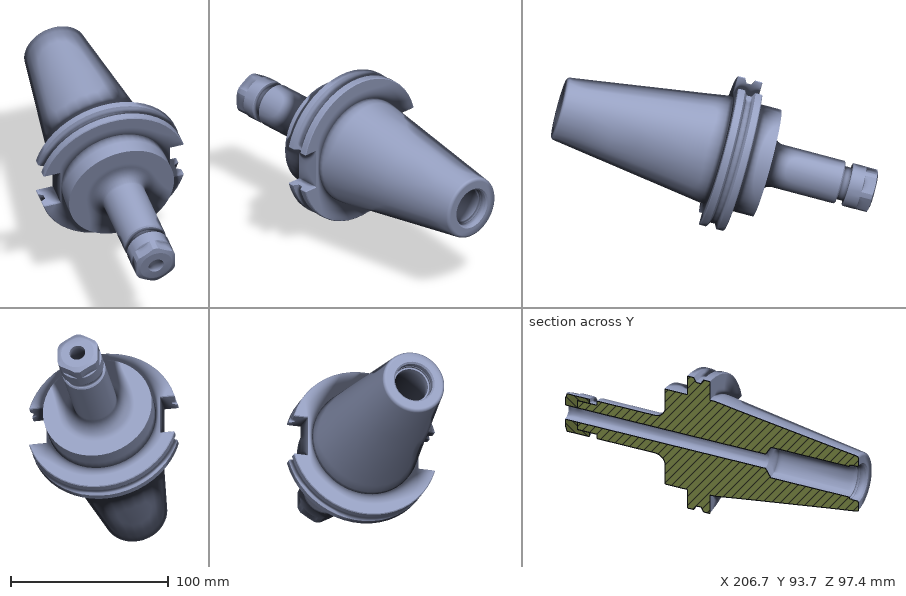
import cadquery as cq
import math


GAUGE_DIAMETER = 70.0
TAPER_LENGTH = 101.7
TAPER_RATIO = 7 / 24
TAPER_END_ROUND = 2.0

FLANGE_START = 3.0
UNDERCUT_WIDTH = 0.6
UNDERCUT_DEPTH = 0.1
FLANGE_WIDTH = 16.1
FLANGE_DIAMETER = 97.4
FLANGE_CHAMFER = 0.52
GROOVE_CENTRE = 11.2
GROOVE_FLOOR_DIAMETER = 91.2
GROOVE_FLOOR_WIDTH = 3.3
GROOVE_FLANK_ANGLE = 30

SLOT_WIDTH = 25.6
SLOT_FLOOR_FRONT = 35.5
SLOT_FLOOR_BACK = 37.6

COLLAR_END = 35.0
SHANK_DIAMETER = 28.0
SHANK_FILLET = 7.0
SHANK_END = 83.1
SHANK_CHAMFER = 0.8
NECK_DIAMETER = 21.7
NECK_IN_NUT = 8.7

BORE_MOUTH_DIAMETER = 27.0
BORE_PILOT_DIAMETER = 25.0
BORE_PILOT_DEPTH = 5.0
BORE_STEP_DIAMETER = 24.5
BORE_STEP_DEPTH = 6.5
BORE_DIAMETER = 22.1
BORE_DEPTH = 62.0
BORE_TIP_ANGLE = 59
THROUGH_DIAMETER = 10.1

NUT_START = 87.9
NUT_END = 105.0
NUT_DIAMETER = 28.0
NUT_BACK_CHAMFER = 0.5
NUT_FACE_DIAMETER = 21.0
NUT_FACE_LENGTH = 1.0
FLAT_COUNT = 6
FLATS_START = 96.5
ACROSS_FLATS = 25.6
FLATS_RUNOUT = 0.6


def revolve_about_x(profile):
    """Revolve a closed XY half profile around the X axis."""
    return profile.close().revolve(360, (0, 0, 0), (1, 0, 0))


def holder_blank():
    gauge_radius = GAUGE_DIAMETER / 2
    small_radius = gauge_radius - TAPER_LENGTH * TAPER_RATIO / 2
    shank_radius = SHANK_DIAMETER / 2
    undercut_radius = gauge_radius - UNDERCUT_DEPTH
    fillet_drop = SHANK_FILLET * math.sqrt(0.5)
    profile = (
        cq.Workplane("XY")
        .moveTo(-TAPER_LENGTH, 0)
        .lineTo(-TAPER_LENGTH, small_radius)
        .lineTo(0, gauge_radius)
        .lineTo(FLANGE_START - UNDERCUT_WIDTH, gauge_radius)
        .lineTo(FLANGE_START - UNDERCUT_WIDTH, undercut_radius)
        .lineTo(FLANGE_START, undercut_radius)
        .lineTo(FLANGE_START, gauge_radius)
        .lineTo(COLLAR_END, gauge_radius)
        .lineTo(COLLAR_END, shank_radius + SHANK_FILLET)
        .threePointArc(
            (COLLAR_END + SHANK_FILLET - fillet_drop, shank_radius + SHANK_FILLET - fillet_drop),
            (COLLAR_END + SHANK_FILLET, shank_radius),
        )
        .lineTo(SHANK_END - SHANK_CHAMFER, shank_radius)
        .lineTo(SHANK_END, shank_radius - SHANK_CHAMFER)
        .lineTo(SHANK_END, NECK_DIAMETER / 2)
        .lineTo(NUT_START + NECK_IN_NUT, NECK_DIAMETER / 2)
        .lineTo(NUT_START + NECK_IN_NUT, 0)
    )
    return revolve_about_x(profile).faces("<X").edges().fillet(TAPER_END_ROUND)


def gripper_groove():
    floor_radius = GROOVE_FLOOR_DIAMETER / 2
    half_floor = GROOVE_FLOOR_WIDTH / 2
    depth = FLANGE_DIAMETER / 2 - floor_radius
    half_mouth = half_floor + depth * math.tan(math.radians(GROOVE_FLANK_ANGLE))
    profile = (
        cq.Workplane("XY")
        .moveTo(GROOVE_CENTRE - half_floor, floor_radius)
        .lineTo(GROOVE_CENTRE + half_floor, floor_radius)
        .lineTo(GROOVE_CENTRE + half_mouth, floor_radius + depth)
        .lineTo(GROOVE_CENTRE - half_mouth, floor_radius + depth)
    )
    return revolve_about_x(profile)


def drive_slot(side, floor_distance):
    """Slot through the flange; side is -1 for the -Y side and +1 for +Y."""
    middle = FLANGE_START + FLANGE_WIDTH / 2
    depth = FLANGE_DIAMETER / 2
    slot = cq.Workplane("XY").box(FLANGE_WIDTH, depth, SLOT_WIDTH)
    return slot.translate((middle, side * (floor_distance + depth / 2), 0))


def gripper_flange():
    """Slotted and grooved disc; every edge is chamfered but those of the slot floors."""
    flange = cq.Workplane("YZ", origin=(FLANGE_START, 0, 0))
    flange = flange.circle(FLANGE_DIAMETER / 2).extrude(FLANGE_WIDTH)
    flange = flange.cut(drive_slot(-1, SLOT_FLOOR_FRONT))
    flange = flange.cut(drive_slot(1, SLOT_FLOOR_BACK))
    end_edges = flange.edges("%CIRCLE or |Y").vals()
    rim_start = SLOT_FLOOR_BACK + FLANGE_CHAMFER
    rim_edges = [e for e in flange.edges("|X").vals() if abs(e.Center().y) > rim_start]
    flange = flange.newObject(end_edges + rim_edges).chamfer(FLANGE_CHAMFER)
    return flange.cut(gripper_groove())


def stepped_bore():
    mouth = -TAPER_LENGTH
    mouth_radius = BORE_MOUTH_DIAMETER / 2
    pilot_radius = BORE_PILOT_DIAMETER / 2
    step_radius = BORE_STEP_DIAMETER / 2
    bore_radius = BORE_DIAMETER / 2
    through_radius = THROUGH_DIAMETER / 2
    tip_length = (bore_radius - through_radius) / math.tan(math.radians(BORE_TIP_ANGLE))
    profile = (
        cq.Workplane("XY")
        .moveTo(mouth, 0)
        .lineTo(mouth, mouth_radius)
        .lineTo(mouth + mouth_radius - pilot_radius, pilot_radius)
        .lineTo(mouth + BORE_PILOT_DEPTH, pilot_radius)
        .lineTo(mouth + BORE_PILOT_DEPTH, step_radius)
        .lineTo(mouth + BORE_STEP_DEPTH, step_radius)
        .lineTo(mouth + BORE_STEP_DEPTH, bore_radius)
        .lineTo(mouth + BORE_DEPTH, bore_radius)
        .lineTo(mouth + BORE_DEPTH + tip_length, through_radius)
        .lineTo(NUT_END, through_radius)
        .lineTo(NUT_END, 0)
    )
    return revolve_about_x(profile)


def make_holder():
    return holder_blank().union(gripper_flange()).cut(stepped_bore())


def nut_blank():
    radius = NUT_DIAMETER / 2
    through_radius = THROUGH_DIAMETER / 2
    neck_end = NUT_START + NECK_IN_NUT
    profile = (
        cq.Workplane("XY")
        .moveTo(NUT_START, NECK_DIAMETER / 2)
        .lineTo(NUT_START, radius - NUT_BACK_CHAMFER)
        .lineTo(NUT_START + NUT_BACK_CHAMFER, radius)
        .lineTo(NUT_END - NUT_FACE_LENGTH, radius)
        .lineTo(NUT_END, NUT_FACE_DIAMETER / 2)
        .lineTo(NUT_END, through_radius)
        .lineTo(neck_end, through_radius)
        .lineTo(neck_end, NECK_DIAMETER / 2)
    )
    return revolve_about_x(profile)


def wrench_envelope():
    """Hexagonal prism in front of a round part that ends in a conical shoulder."""
    apothem = ACROSS_FLATS / 2
    hexagon = (
        cq.Workplane("YZ", origin=(NUT_START, 0, 0))
        .polygon(FLAT_COUNT, ACROSS_FLATS, circumscribed=True)
        .extrude(NUT_END - NUT_START)
    )
    round_part = (
        cq.Workplane("XY")
        .moveTo(NUT_START, 0)
        .lineTo(NUT_START, NUT_DIAMETER / 2)
        .lineTo(FLATS_START, NUT_DIAMETER / 2)
        .lineTo(FLATS_START + FLATS_RUNOUT, apothem)
        .lineTo(FLATS_START + FLATS_RUNOUT, 0)
    )
    return hexagon.union(revolve_about_x(round_part))


def make_nut():
    return nut_blank().intersect(wrench_envelope())


holder = make_holder()
nut = make_nut()
result = cq.Compound.makeCompound([holder.solids().val(), nut.solids().val()])